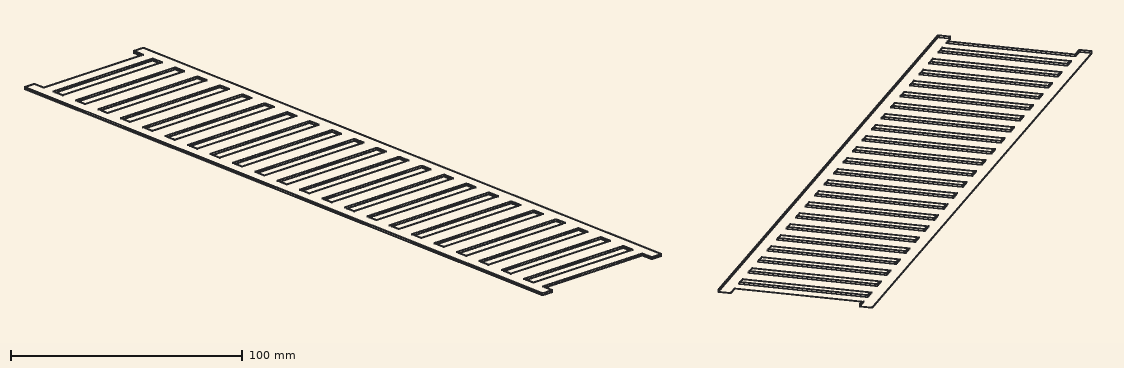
import cadquery as cq

OVERALL_LENGTH = 332.7
OVERALL_WIDTH = 69.53
THICKNESS = 1.0
RAIL_OVERHANG = 6.0
END_BAR_WIDTH = 6.2
SLOT_COUNT = 22
SLOT_WIDTH = 6.0
SLOT_LENGTH = 58.2

SLOTTED_LENGTH = OVERALL_LENGTH - 2 * (RAIL_OVERHANG + END_BAR_WIDTH)
SLOT_PITCH = (SLOTTED_LENGTH - SLOT_WIDTH) / (SLOT_COUNT - 1)


def plate():
    """Flat strip centred on the origin in X and Y, resting on Z = 0."""
    return cq.Workplane("XY").rect(OVERALL_LENGTH, OVERALL_WIDTH).extrude(THICKNESS)


def slots():
    """Evenly spaced through slots between the two rails."""
    return (
        cq.Workplane("XY")
        .rarray(SLOT_PITCH, 1, SLOT_COUNT, 1)
        .rect(SLOT_WIDTH, SLOT_LENGTH)
        .extrude(THICKNESS)
    )


def end_notches():
    """Open notches that leave the rails projecting past both end bars."""
    notch_spacing = OVERALL_LENGTH - RAIL_OVERHANG
    return (
        cq.Workplane("XY")
        .rarray(notch_spacing, 1, 2, 1)
        .rect(RAIL_OVERHANG, SLOT_LENGTH)
        .extrude(THICKNESS)
    )


result = plate().cut(slots()).cut(end_notches())